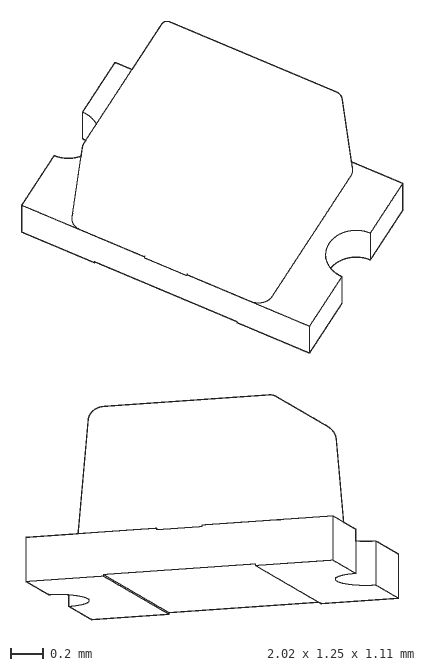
import cadquery as cq

total_height = 1.11

base_length = 2.02
base_width = 1.25
base_height = 0.28
pad_thickness = 0.01
top_pad_gap = 0.299
bottom_pad_gap = 1.0
end_notch_radius = 0.19

lens_length = 1.395
lens_width = base_width
lens_draft_angle = 5.0
lens_edge_radius = 0.099

board_top = base_height - pad_thickness
lens_height = total_height - board_top


def pad_gap(gap_length, bottom_level):
    """Space between the two pads of one face, across the full width."""
    return (
        cq.Workplane("XY", origin=(0, 0, bottom_level))
        .box(gap_length, base_width, pad_thickness, centered=(True, True, False))
    )


def make_base():
    """Board with a half-round notch in each end and a gap between its pads."""
    block = cq.Workplane("XY").box(base_length, base_width, base_height, centered=(True, True, False))
    end_notches = (
        cq.Workplane("XY")
        .pushPoints([(side * base_length / 2, 0) for side in (-1, 1)])
        .circle(end_notch_radius)
        .extrude(base_height)
    )
    return (
        block.cut(end_notches)
        .cut(pad_gap(bottom_pad_gap, 0))
        .cut(pad_gap(top_pad_gap, board_top))
    )


def make_lens(base):
    """Drafted dome that stands on the top pads and fills the gap between them."""
    outline = cq.Sketch().rect(lens_length, lens_width).vertices().fillet(lens_edge_radius)
    dome = (
        cq.Workplane("XY", origin=(0, 0, board_top))
        .placeSketch(outline)
        .extrude(lens_height, taper=lens_draft_angle)
        .faces(">Z")
        .edges()
        .fillet(lens_edge_radius)
    )
    return dome.cut(base)


base = make_base()
lens = make_lens(base)

result = cq.Compound.makeCompound([base.val(), lens.val()])